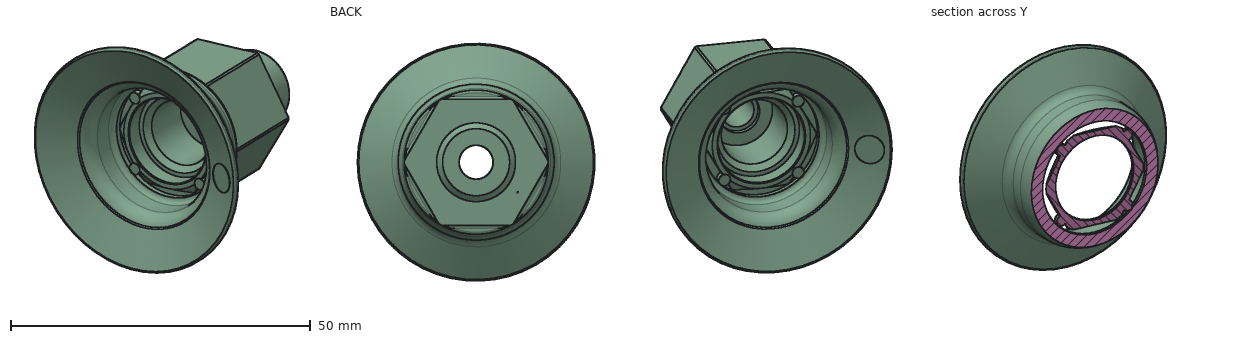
import cadquery as cq
import math


hex_sides = 6
hex_step_angle = 360 / hex_sides

rim_radius = 19.8
rim_width = 1.2
rim_fillet = 0.35
rim_back_fillet = 0.25
belly_radius = 26.0 / 2
belly_front = 6.15
belly_back = 8.5
shoulder_joint_y = 10.9
neck_radius = 24.0 / 2
neck_start = 12.05
cup_back = 12.85
skirt_angle = math.radians(28)
skirt_arc_radius = 2.0

throat_radius = 22.0 / 2
throat_front = 5.95
throat_arc_radius = 3.0
lip_inner_radius = belly_radius
mouth_angle = math.radians(24.5)
floor_fillet = 1.0
floor_y = 10.45
recess_radius = 20.05 / 2
recess_floor = 11.55

pad_diameter = 5.0
pad_height = 0.1
pad_sink = 0.25
pad_axis_distance = 16.22
dimple_diameter = 0.5
dimple_depth = 0.2
dimple_y = 0.65
dimple_angle = 200

nut_across_flats = 17.0
nut_face = 10.35
nut_bore = 15.0
nut_bore_chamfer = 0.15
nut_chamfer_angle = math.radians(30)
collar_diameter = 16.6
lug_diameter = 2.0
lug_offset = 6.37
lug_top = 10.3

hex_across_flats = 21.0
hex_end = 29.35
flange_back = 13.3
flange_edge_radius = 0.4
hex_fillet = 0.5
hex_fillet_half_length = 4.65
stub_diameter = 13.15
stub_chamfer = 1.0
stub_end = 39.35
seat_y = 13.6
thread_bore = 11.45
seat_chamfer_diameter = 13.5
thread_bore_end = 23.75
step_bore = 7.0
step_depth = 1.0
through_bore = 5.6


def revolve_about_y(profile):
    """Revolve a closed (radius, Y) profile a full turn about the Y axis."""
    return profile.close().revolve(360, (0, 0, 0), (0, 1, 0))


def disc(diameter, y_start, y_end):
    return cq.Workplane("XZ", origin=(0, y_start, 0)).circle(diameter / 2).extrude(y_start - y_end)


def hex_prism(across_flats, y_start, y_end):
    """Hexagonal prism along Y with corners on +X and -X."""
    corner_diameter = across_flats / math.cos(math.pi / hex_sides)
    plane = cq.Workplane("XZ", origin=(0, y_start, 0))
    return plane.polygon(hex_sides, corner_diameter).extrude(y_start - y_end)


def flare_point(start_radius, start_y, arc_radius, turn):
    """Point on an arc that leaves a cylinder tangentially and flares outward toward -Y."""
    return (start_radius + arc_radius * (1 - math.cos(turn)), start_y - arc_radius * math.sin(turn))


def make_cup_body():
    skirt_turn = math.pi / 2 - skirt_angle
    mouth_turn = math.pi / 2 - mouth_angle
    mouth_edge_radius = rim_radius - rim_fillet
    lip_inner_y = (mouth_edge_radius - lip_inner_radius) * math.tan(mouth_angle)

    shoulder_slope = (belly_radius - neck_radius) / (neck_start - belly_back)
    shoulder_joint = (belly_radius - shoulder_slope * (shoulder_joint_y - belly_back), shoulder_joint_y)

    outer_flare_end = flare_point(belly_radius, belly_front, skirt_arc_radius, skirt_turn)
    outer_flare_middle = flare_point(belly_radius, belly_front, skirt_arc_radius, skirt_turn / 2)
    inner_flare_end = flare_point(throat_radius, throat_front, throat_arc_radius, mouth_turn)
    inner_flare_middle = flare_point(throat_radius, throat_front, throat_arc_radius, mouth_turn / 2)

    profile = (
        cq.Workplane("XY")
        .moveTo(mouth_edge_radius, 0)
        .radiusArc((rim_radius, rim_fillet), -rim_fillet)
        .lineTo(rim_radius, rim_width - rim_back_fillet)
        .radiusArc((rim_radius - rim_back_fillet, rim_width), -rim_back_fillet)
        .lineTo(*outer_flare_end)
        .threePointArc(outer_flare_middle, (belly_radius, belly_front))
        .lineTo(belly_radius, belly_back)
        .tangentArcPoint(shoulder_joint, relative=False)
        .tangentArcPoint((neck_radius, neck_start), relative=False)
        .lineTo(neck_radius, cup_back)
        .lineTo(collar_diameter / 2, cup_back)
        .lineTo(collar_diameter / 2, recess_floor)
        .lineTo(recess_radius, recess_floor)
        .lineTo(recess_radius, floor_y)
        .lineTo(throat_radius - floor_fillet, floor_y)
        .radiusArc((throat_radius, floor_y - floor_fillet), floor_fillet)
        .lineTo(throat_radius, throat_front)
        .threePointArc(inner_flare_middle, inner_flare_end)
        .lineTo(lip_inner_radius, lip_inner_y)
    )
    return revolve_about_y(profile)


def make_pad():
    """Thin flat disc square to the mouth cone on the +X side."""
    cone_y = (rim_radius - rim_fillet - pad_axis_distance) * math.tan(mouth_angle)
    outward = cq.Vector(-math.sin(mouth_angle), -math.cos(mouth_angle), 0)
    base = cq.Vector(pad_axis_distance, cone_y, 0) - outward * pad_sink
    return cq.Workplane(cq.Solid.makeCylinder(pad_diameter / 2, pad_sink + pad_height, base, outward))


def make_rim_dimple():
    angle = math.radians(dimple_angle)
    outward = cq.Vector(math.cos(angle), 0, math.sin(angle))
    base = outward * (rim_radius - dimple_depth) + cq.Vector(0, dimple_y, 0)
    return cq.Workplane(cq.Solid.makeCylinder(dimple_diameter / 2, 2 * dimple_depth, base, outward))


def make_cup():
    return make_cup_body().union(make_pad()).cut(make_rim_dimple())


def make_nut():
    head = hex_prism(nut_across_flats, nut_face, recess_floor)

    bevel_radius = nut_across_flats / 2
    head_length = recess_floor - nut_face
    bevel_base = bevel_radius + head_length / math.tan(nut_chamfer_angle)
    bevel = revolve_about_y(
        cq.Workplane("XY")
        .moveTo(0, nut_face)
        .lineTo(bevel_radius, nut_face)
        .lineTo(bevel_base, recess_floor)
        .lineTo(0, recess_floor)
    )
    nut = head.intersect(bevel)

    for x_side in (-1, 1):
        for z_side in (-1, 1):
            lug = disc(lug_diameter, lug_top, recess_floor)
            nut = nut.union(lug.translate((x_side * lug_offset, 0, z_side * lug_offset)))

    nut = nut.union(disc(collar_diameter, recess_floor, seat_y))
    nut = nut.cut(disc(nut_bore, nut_face, seat_y))

    bore_radius = nut_bore / 2
    bore_bevel = revolve_about_y(
        cq.Workplane("XY")
        .moveTo(0, nut_face)
        .lineTo(bore_radius + nut_bore_chamfer, nut_face)
        .lineTo(bore_radius, nut_face + nut_bore_chamfer)
        .lineTo(0, nut_face + nut_bore_chamfer)
    )
    return nut.cut(bore_bevel)


def make_flat_root_fillet():
    """Concave fillet between the flange and the hexagon flat on +X, falling away to both corners."""
    flat_x = hex_across_flats / 2
    fillet_top = flange_back + hex_fillet
    bar = (
        cq.Workplane("XY", origin=(0, 0, -flat_x / 2))
        .moveTo(flat_x - hex_fillet, cup_back)
        .lineTo(flat_x + hex_fillet, cup_back)
        .lineTo(flat_x + hex_fillet, flange_back)
        .radiusArc((flat_x, fillet_top), hex_fillet)
        .lineTo(flat_x - hex_fillet, fillet_top)
        .close()
        .extrude(flat_x)
    )
    full_height_radius = math.hypot(flat_x, hex_fillet_half_length)
    end_taper = revolve_about_y(
        cq.Workplane("XY")
        .moveTo(0, cup_back)
        .lineTo(neck_radius, cup_back)
        .lineTo(full_height_radius, fillet_top)
        .lineTo(0, fillet_top)
    )
    return bar.intersect(end_taper)


def make_housing():
    flange = disc(2 * neck_radius, cup_back, flange_back).faces(">Y").edges().fillet(flange_edge_radius)
    body = flange.union(hex_prism(hex_across_flats, cup_back, hex_end))
    for flat in range(hex_sides):
        root = make_flat_root_fillet().rotate((0, 0, 0), (0, 1, 0), (flat + 0.5) * hex_step_angle)
        body = body.union(root)
    body = body.intersect(disc(2 * neck_radius, cup_back, hex_end))

    stub = disc(stub_diameter, hex_end, stub_end).faces(">Y").chamfer(stub_chamfer)
    body = body.union(stub)

    cone_length = (seat_chamfer_diameter - thread_bore) / 2
    bore = revolve_about_y(
        cq.Workplane("XY")
        .moveTo(0, cup_back)
        .lineTo(collar_diameter / 2, cup_back)
        .lineTo(collar_diameter / 2, seat_y)
        .lineTo(seat_chamfer_diameter / 2, seat_y)
        .lineTo(thread_bore / 2, seat_y + cone_length)
        .lineTo(thread_bore / 2, thread_bore_end)
        .lineTo(step_bore / 2, thread_bore_end)
        .lineTo(step_bore / 2, thread_bore_end + step_depth)
        .lineTo(through_bore / 2, thread_bore_end + step_depth)
        .lineTo(through_bore / 2, stub_end)
        .lineTo(0, stub_end)
    )
    return body.cut(bore)


cup = make_cup().solids()
nut = make_nut().solids()
housing = make_housing().solids()

result = cq.Compound.makeCompound([cup.val(), nut.val(), housing.val()])